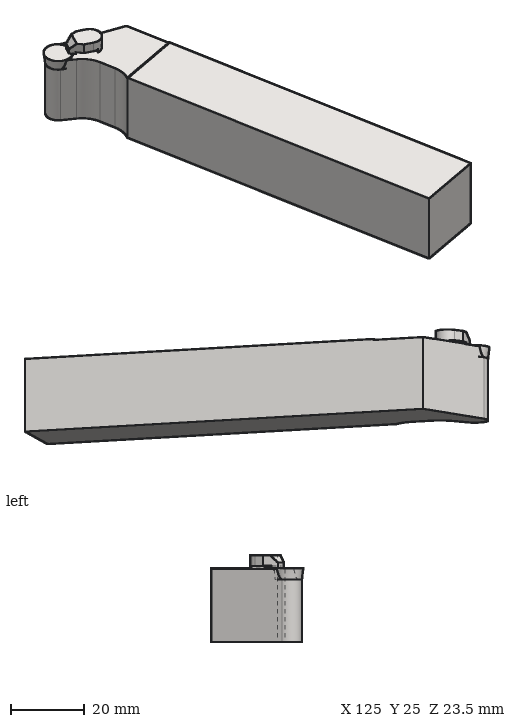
import cadquery as cq
import math

length = 125.0
shank_back = 25.0
shank_height = 20.0
shank_width = 20.0
shank_front = shank_back - shank_width
shank_start = 26.0
head_drop = 0.2
head_top = shank_height - head_drop

insert_radius = 4.0
insert_thickness = 3.1
relief_angle = 7.0
insert_bottom_radius = insert_radius - insert_thickness * math.tan(math.radians(relief_angle))
insert_x = insert_radius
insert_y = insert_radius
insert_top = shank_height

nose_radius = insert_bottom_radius
flank_angle = 60.0
throat_angle = 45.0
relief_radius = 8.5
throat_y = 7.0

clamp_angle = 53.0
clamp_top = 23.5
clamp_radius = 3.2
clamp_tip = 2.6
clamp_bevel_start = 4.5
clamp_shoulder = 6.2
clamp_centre = 9.0
clamp_tip_half_width = 1.4
clamp_tip_z = 21.5
clamp_gap_start = 4.2
clamp_gap_end = 10.4
clamp_underside = 20.6


def polar(centre, radius, angle):
    """Point at the given angle in degrees on a circle."""
    turn = math.radians(angle)
    return centre[0] + radius * math.cos(turn), centre[1] + radius * math.sin(turn)


def make_insert():
    profile = [
        (0, insert_top - insert_thickness),
        (insert_bottom_radius, insert_top - insert_thickness),
        (insert_radius, insert_top),
        (0, insert_top),
    ]
    cone = cq.Workplane("XZ").polyline(profile).close().revolve(360, (0, 0), (0, 1))
    return cone.translate((insert_x, insert_y, 0))


def make_shank():
    return cq.Workplane("XY").box(
        length - shank_start, shank_width, shank_height, centered=False
    ).translate((shank_start, shank_front, 0))


def make_head():
    nose = (insert_x, insert_y)
    flank_start = polar(nose, nose_radius, flank_angle + 90)
    nose_bottom = polar(nose, nose_radius, -90)
    throat_start = polar(nose, nose_radius, throat_angle - 90)
    flank_run = (shank_back - flank_start[1]) / math.tan(math.radians(flank_angle))

    arc_low_y = throat_y - relief_radius * (1 - math.cos(math.radians(throat_angle)))
    arc_low_x = throat_start[0] + (arc_low_y - throat_start[1]) / math.tan(math.radians(throat_angle))
    hollow_x = arc_low_x + relief_radius * math.sin(math.radians(throat_angle))
    hollow_centre = (hollow_x, throat_y - relief_radius)

    fall_angle = math.degrees(math.acos(1 - (throat_y - shank_front) / relief_radius))
    floor_end_x = shank_start - relief_radius * math.sin(math.radians(fall_angle))
    fall_centre = (floor_end_x, throat_y - relief_radius)

    return (
        cq.Workplane("XY")
        .moveTo(*flank_start)
        .threePointArc(polar(nose, nose_radius, 180 + throat_angle), nose_bottom)
        .threePointArc(polar(nose, nose_radius, throat_angle / 2 - 90), throat_start)
        .lineTo(arc_low_x, arc_low_y)
        .threePointArc(polar(hollow_centre, relief_radius, 90 + throat_angle / 2), (hollow_x, throat_y))
        .lineTo(floor_end_x, throat_y)
        .threePointArc(polar(fall_centre, relief_radius, 90 - fall_angle / 2), (shank_start, shank_front))
        .lineTo(shank_start, shank_back)
        .lineTo(flank_start[0] + flank_run, shank_back)
        .close()
        .extrude(head_top)
    )


def make_clamp():
    """Clamp built along +X from the insert centre, then turned into place."""
    plan = (
        cq.Workplane("XY", origin=(0, 0, head_top))
        .moveTo(clamp_tip, -clamp_tip_half_width)
        .lineTo(clamp_shoulder, -clamp_radius)
        .lineTo(clamp_centre, -clamp_radius)
        .threePointArc((clamp_centre + clamp_radius, 0), (clamp_centre, clamp_radius))
        .lineTo(clamp_shoulder, clamp_radius)
        .lineTo(clamp_tip, clamp_tip_half_width)
        .close()
        .extrude(clamp_top - head_top)
    )
    side = (
        cq.Workplane("XZ")
        .polyline([
            (clamp_tip, insert_top),
            (clamp_tip, clamp_tip_z),
            (clamp_bevel_start, clamp_top),
            (clamp_centre + clamp_radius, clamp_top),
            (clamp_centre + clamp_radius, head_top),
            (clamp_gap_end, head_top),
            (clamp_gap_end, clamp_underside),
            (clamp_gap_start, clamp_underside),
            (clamp_gap_start, insert_top),
        ])
        .close()
        .extrude(clamp_radius, both=True)
    )
    clamp = plan.intersect(side)
    return clamp.rotate((0, 0, 0), (0, 0, 1), clamp_angle).translate((insert_x, insert_y, 0))


insert = make_insert()
holder = make_shank().union(make_head()).union(make_clamp()).cut(insert)

result = cq.Compound.makeCompound([holder.val(), insert.val()])